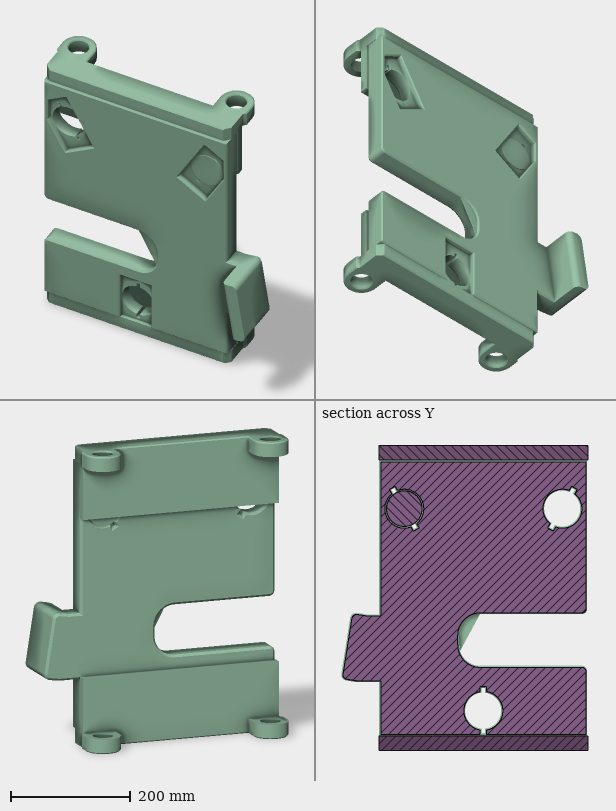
import cadquery as cq
import math

TOTAL_HEIGHT = 510.0
CHAMFER_ANGLE = 45.0

FLANGE_THICKNESS = 25.0
BRACKET_HALF_WIDTH = 175.0
BRACKET_BACK_Y = -27.0
BRACKET_FRONT_Y = -75.5
BRACKET_WALL_BOTTOM_Z = 136.0
BRACKET_CORNER_CHAMFER = 10.0
BRACKET_RIM_CHAMFER = 2.0
LUG_SPACING = 299.5
LUG_RADIUS = 30.0
LUG_STRAIGHT_END_Y = -20.0
LUG_HOLE_RADIUS = 17.5
LUG_HOLE_CHAMFER = 2.0

PLATE_HALF_WIDTH = 174.0
PLATE_BACK_Y = -41.5
PLATE_FRONT_Y = -79.0
PLATE_BACK_CHAMFER = 4.0
PLATE_FRONT_CHAMFER = 2.5
PLATE_HALF_HEIGHT = TOTAL_HEIGHT / 2 - FLANGE_THICKNESS
PLATE_THICKNESS = PLATE_BACK_Y - PLATE_FRONT_Y

SLOT_TOP_Z = -27.0
SLOT_BOTTOM_Z = -113.0
SLOT_END_X = 40.5
SLOT_END_RADIUS = 35.0
SLOT_ARC_X = SLOT_END_X - SLOT_END_RADIUS
SLOT_MOUTH_RADIUS = 9.0
WEB_THICKNESS = 1.5
WEB_ARC_ANGLE = 18.0

TAB_TOP_Z = -27.5
TAB_BOTTOM_Z = -141.0
HANDLE_TILT = 9.0
HANDLE_INNER_TOP_X = 193.5
HANDLE_THICKNESS = 27.5
HANDLE_END_Y = -134.0
HANDLE_CORNER_RADIUS = 10.0
HANDLE_TIP_RADIUS = 10.0

POCKET_DEPTH = 10.0
POCKET_CHAMFER = 2.0
POCKET_HALF_WIDTH = 30.0
POCKET_HALF_LENGTH = 51.0
POCKET_LIMIT_X = 166.5
UPPER_POCKET_X = 132.0
UPPER_POCKET_Z = 149.5
UPPER_POCKET_TILT = 30.0
LOWER_POCKET_Z = -188.0
KEYED_HOLE_RADIUS = 30.0
KEY_SLOT_WIDTH = 6.0
KEY_SLOT_REACH = 37.5
POCKET_FLOOR_Y = PLATE_FRONT_Y + POCKET_DEPTH

DISC_PROTRUSION = 1.5


def plane_at_y(y):
    """Plane facing -Y, with local axes along +X and +Z."""
    return cq.Workplane("XZ", origin=(0, y, 0))


def make_bracket():
    """Upper bracket: flange with two lugs, and a wall that lies behind the plate."""
    flange_bottom = TOTAL_HEIGHT / 2 - FLANGE_THICKNESS
    width = 2 * BRACKET_HALF_WIDTH
    depth = BRACKET_BACK_Y - BRACKET_FRONT_Y

    flange = cq.Workplane("XY", origin=(0, BRACKET_FRONT_Y, flange_bottom)).box(
        width, depth, FLANGE_THICKNESS, centered=(True, False, False)
    ).edges("|Z and <Y").chamfer(BRACKET_CORNER_CHAMFER)

    lug_x = LUG_SPACING / 2
    lug_inner_x = lug_x - LUG_RADIUS
    lug_outer_x = lug_x + LUG_RADIUS
    taper_end_y = LUG_STRAIGHT_END_Y - (lug_outer_x - BRACKET_HALF_WIDTH)
    right_lug = (
        cq.Workplane("XY", origin=(0, 0, flange_bottom))
        .moveTo(lug_inner_x, BRACKET_BACK_Y)
        .lineTo(lug_inner_x, 0)
        .threePointArc((lug_x, LUG_RADIUS), (lug_outer_x, 0))
        .lineTo(lug_outer_x, LUG_STRAIGHT_END_Y)
        .lineTo(BRACKET_HALF_WIDTH, taper_end_y)
        .lineTo(BRACKET_HALF_WIDTH, BRACKET_BACK_Y)
        .close()
        .extrude(FLANGE_THICKNESS)
    )
    body = flange.union(right_lug).union(right_lug.mirror("YZ"))
    rim = body.faces(">Z").edges("|X or |Y or %CIRCLE")
    rim = rim.filter(lambda edge: not math.isclose(abs(edge.Center().x), BRACKET_HALF_WIDTH, rel_tol=1e-6))
    body = rim.chamfer(BRACKET_RIM_CHAMFER)

    holes = (
        cq.Workplane("XY", origin=(0, 0, flange_bottom))
        .pushPoints([(-lug_x, 0), (lug_x, 0)])
        .circle(LUG_HOLE_RADIUS)
        .extrude(FLANGE_THICKNESS)
    )
    body = body.cut(holes)
    body = body.faces(">Z").edges("%CIRCLE").edges(
        cq.selectors.RadiusNthSelector(0)
    ).chamfer(LUG_HOLE_CHAMFER)

    wall = cq.Workplane("XY", origin=(0, PLATE_BACK_Y, BRACKET_WALL_BOTTOM_Z)).box(
        width,
        BRACKET_BACK_Y - PLATE_BACK_Y,
        flange_bottom - BRACKET_WALL_BOTTOM_Z,
        centered=(True, False, False),
    )
    return body.union(wall)


def make_handle():
    """Tilted grip that runs forward from the end of the tab."""
    length = (TAB_TOP_Z - TAB_BOTTOM_Z) / math.cos(math.radians(HANDLE_TILT))
    handle = (
        cq.Workplane("XY")
        .box(HANDLE_THICKNESS, PLATE_BACK_Y - HANDLE_END_Y, length, centered=False)
        .edges("|Y and >X").fillet(HANDLE_CORNER_RADIUS)
        .edges("|Z and <X and <Y").fillet(HANDLE_TIP_RADIUS)
        .faces(">Y").edges().chamfer(PLATE_BACK_CHAMFER)
    )
    return (
        handle.translate((0, HANDLE_END_Y, -length))
        .rotate((0, 0, 0), (0, 1, 0), -HANDLE_TILT)
        .translate((HANDLE_INNER_TOP_X, 0, TAB_TOP_Z))
    )


def make_plate_blank():
    """Plate with its slot and tab, chamfered around the front and back faces."""
    tilt = math.radians(HANDLE_TILT)
    handle_inner_bottom_x = HANDLE_INNER_TOP_X + (TAB_TOP_Z - TAB_BOTTOM_Z) * math.tan(tilt)
    overlap_x = HANDLE_THICKNESS / 2 * math.cos(tilt)
    overlap_z = HANDLE_THICKNESS / 2 * math.sin(tilt)
    blank = (
        plane_at_y(PLATE_BACK_Y)
        .moveTo(-PLATE_HALF_WIDTH, PLATE_HALF_HEIGHT)
        .lineTo(-PLATE_HALF_WIDTH, SLOT_TOP_Z)
        .lineTo(SLOT_ARC_X, SLOT_TOP_Z)
        .radiusArc((SLOT_END_X, SLOT_TOP_Z - SLOT_END_RADIUS), SLOT_END_RADIUS)
        .lineTo(SLOT_END_X, SLOT_BOTTOM_Z + SLOT_END_RADIUS)
        .radiusArc((SLOT_ARC_X, SLOT_BOTTOM_Z), SLOT_END_RADIUS)
        .lineTo(-PLATE_HALF_WIDTH, SLOT_BOTTOM_Z)
        .lineTo(-PLATE_HALF_WIDTH, -PLATE_HALF_HEIGHT)
        .lineTo(PLATE_HALF_WIDTH, -PLATE_HALF_HEIGHT)
        .lineTo(PLATE_HALF_WIDTH, TAB_BOTTOM_Z)
        .lineTo(handle_inner_bottom_x, TAB_BOTTOM_Z)
        .lineTo(handle_inner_bottom_x + overlap_x, TAB_BOTTOM_Z + overlap_z)
        .lineTo(HANDLE_INNER_TOP_X + overlap_x, TAB_TOP_Z + overlap_z)
        .lineTo(HANDLE_INNER_TOP_X, TAB_TOP_Z)
        .lineTo(PLATE_HALF_WIDTH, TAB_TOP_Z)
        .lineTo(PLATE_HALF_WIDTH, PLATE_HALF_HEIGHT)
        .close()
        .extrude(PLATE_THICKNESS)
    )
    slot_mouth_corners = cq.selectors.BoxSelector(
        (-PLATE_HALF_WIDTH - SLOT_MOUTH_RADIUS, PLATE_FRONT_Y, SLOT_BOTTOM_Z - SLOT_MOUTH_RADIUS),
        (-PLATE_HALF_WIDTH + SLOT_MOUTH_RADIUS, PLATE_BACK_Y, SLOT_TOP_Z + SLOT_MOUTH_RADIUS),
    )
    blank = blank.edges(slot_mouth_corners).fillet(SLOT_MOUTH_RADIUS)
    blank = blank.faces(">Y").edges().chamfer(PLATE_BACK_CHAMFER)
    return blank.faces("<Y").edges().chamfer(PLATE_FRONT_CHAMFER)


def make_slot_web():
    """Thin web that closes the upper inner corner of the slot, just behind the front chamfer."""
    lower_arc_z = SLOT_BOTTOM_Z + SLOT_END_RADIUS
    angle = math.radians(WEB_ARC_ANGLE)
    foot_x = SLOT_ARC_X + SLOT_END_RADIUS * math.cos(angle)
    foot_z = lower_arc_z - SLOT_END_RADIUS * math.sin(angle)
    return (
        plane_at_y(PLATE_FRONT_Y + PLATE_FRONT_CHAMFER + WEB_THICKNESS)
        .moveTo(SLOT_ARC_X, SLOT_TOP_Z)
        .lineTo(foot_x, foot_z)
        .lineTo(SLOT_END_X, lower_arc_z)
        .lineTo(SLOT_END_X, SLOT_TOP_Z)
        .close()
        .extrude(WEB_THICKNESS)
    )


def make_pocket(foot_length):
    """Pocket at the origin that reaches foot_length below its hole, with a chamfered rim."""
    height = POCKET_HALF_LENGTH + foot_length
    middle_z = (POCKET_HALF_LENGTH - foot_length) / 2
    recess = (
        plane_at_y(POCKET_FLOOR_Y)
        .center(0, middle_z)
        .rect(2 * POCKET_HALF_WIDTH, height)
        .extrude(POCKET_DEPTH)
    )
    rim = (
        plane_at_y(PLATE_FRONT_Y)
        .center(0, middle_z)
        .rect(2 * (POCKET_HALF_WIDTH + POCKET_CHAMFER), height + 2 * POCKET_CHAMFER)
        .extrude(-POCKET_CHAMFER, taper=CHAMFER_ANGLE)
    )
    return recess.union(rim)


def make_keyed_hole():
    """Round hole at the origin with two opposite key slots, through the plate, chamfered at the back."""
    back = plane_at_y(PLATE_BACK_Y)
    flare = PLATE_BACK_CHAMFER
    key_length = 2 * KEY_SLOT_REACH
    hole = back.circle(KEYED_HOLE_RADIUS).extrude(PLATE_THICKNESS)
    key_slot = back.rect(KEY_SLOT_WIDTH, key_length).extrude(PLATE_THICKNESS)
    hole_flare = back.circle(KEYED_HOLE_RADIUS + flare).extrude(flare, taper=CHAMFER_ANGLE)
    key_flare = (
        back.rect(KEY_SLOT_WIDTH + 2 * flare, key_length + 2 * flare)
        .extrude(flare, taper=CHAMFER_ANGLE)
    )
    return hole.union(key_slot).union(hole_flare).union(key_flare)


def make_upper_left_cutout():
    """Tilted pocket with its keyed hole; the pocket is cut off near the plate edge."""
    place = (-UPPER_POCKET_X, 0, UPPER_POCKET_Z)
    pocket = make_pocket(POCKET_HALF_LENGTH)
    pocket = pocket.rotate((0, 0, 0), (0, 1, 0), -UPPER_POCKET_TILT).translate(place)
    far_x = -POCKET_LIMIT_X + 4 * POCKET_HALF_LENGTH
    top_z = UPPER_POCKET_Z + 2 * POCKET_HALF_LENGTH
    limit = (
        cq.Workplane("XY", origin=(0, 0, top_z))
        .moveTo(far_x, PLATE_FRONT_Y)
        .lineTo(-POCKET_LIMIT_X - POCKET_CHAMFER, PLATE_FRONT_Y)
        .lineTo(-POCKET_LIMIT_X, PLATE_FRONT_Y + POCKET_CHAMFER)
        .lineTo(-POCKET_LIMIT_X, POCKET_FLOOR_Y)
        .lineTo(far_x, POCKET_FLOOR_Y)
        .close()
        .extrude(-4 * POCKET_HALF_LENGTH)
    )
    hole = make_keyed_hole().rotate((0, 0, 0), (0, 1, 0), -UPPER_POCKET_TILT).translate(place)
    return pocket.intersect(limit).union(hole)


def make_lower_cutout():
    """Upright pocket, open at the bottom edge of the plate, with its keyed hole."""
    pocket = make_pocket(PLATE_HALF_HEIGHT + LOWER_POCKET_Z)
    return pocket.union(make_keyed_hole()).translate((0, 0, LOWER_POCKET_Z))


def make_plate():
    """Plate with its handle, slot web, pockets and keyed holes."""
    upper_left = make_upper_left_cutout()
    plate = make_plate_blank().union(make_handle()).union(make_slot_web())
    return plate.cut(upper_left).cut(upper_left.mirror("YZ")).cut(make_lower_cutout())


def make_disc():
    """Round disc that fills the upper right hole and stands slightly above the pocket floor."""
    thickness = PLATE_BACK_Y - POCKET_FLOOR_Y + DISC_PROTRUSION
    disc = plane_at_y(PLATE_BACK_Y).circle(KEYED_HOLE_RADIUS).extrude(thickness)
    return disc.translate((UPPER_POCKET_X, 0, UPPER_POCKET_Z))


plate = make_plate()
upper_bracket = make_bracket()
lower_bracket = upper_bracket.mirror("XY")
disc = make_disc()

result = cq.Compound.makeCompound([
    plate.val(),
    upper_bracket.val(),
    lower_bracket.val(),
    disc.val(),
])